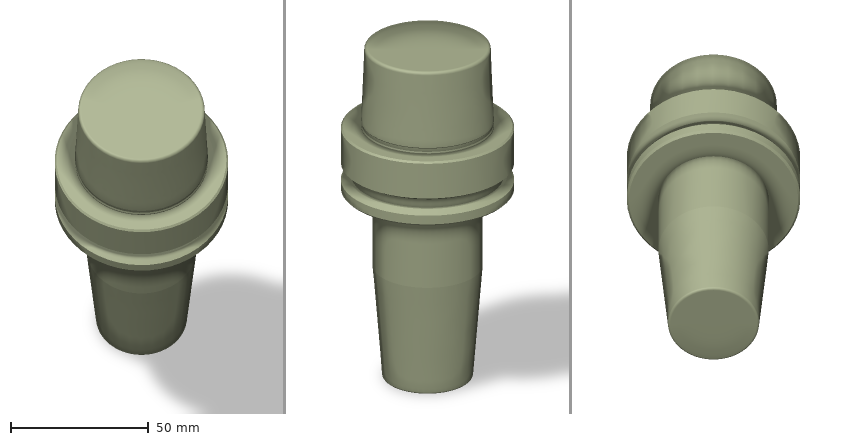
import cadquery as cq
import math

shank_top_radius = 23.0
relief_radius = 23.7
relief_flare = 0.4
shank_base_radius = relief_radius + relief_flare
dish_radius = 26.5
flange_radius = 31.5
groove_radius = 27.7
groove_mouth_radius = 28.9
barrel_radius = 20.0
tip_radius = 16.5

total_height = 131.9
shank_base_z = 102.2
relief_bottom_z = 100.1
flange_top_z = 100.0
groove_top_z = 83.9
groove_bottom_z = 80.0
flange_bottom_z = 74.3
barrel_bottom_z = 44.3

shank_fillet = 1.2
flange_top_chamfer = 0.7
flange_bottom_chamfer = 0.8
tip_fillet = 0.9
dish_depth = 0.3
groove_flank_angle = 60.0

flank_height = (flange_radius - groove_mouth_radius) / math.tan(math.radians(groove_flank_angle))

half_section = [
    (0, 0),
    (tip_radius, 0),
    (barrel_radius, barrel_bottom_z),
    (barrel_radius, flange_bottom_z),
    (flange_radius - flange_bottom_chamfer, flange_bottom_z),
    (flange_radius, flange_bottom_z + flange_bottom_chamfer),
    (flange_radius, groove_bottom_z - flank_height),
    (groove_mouth_radius, groove_bottom_z),
    (groove_radius, groove_bottom_z),
    (groove_radius, groove_top_z),
    (groove_mouth_radius, groove_top_z),
    (flange_radius, groove_top_z + flank_height),
    (flange_radius, flange_top_z - flange_top_chamfer),
    (flange_radius - flange_top_chamfer, flange_top_z),
    (dish_radius, flange_top_z),
    (shank_base_radius, flange_top_z - dish_depth),
    (shank_base_radius, relief_bottom_z),
    (relief_radius, relief_bottom_z + relief_flare),
    (relief_radius, shank_base_z - relief_flare),
    (shank_base_radius, shank_base_z),
    (shank_top_radius, total_height),
    (0, total_height),
]
body = cq.Workplane("XZ").polyline(half_section).close().revolve(360, (0, 0, 0), (0, 1, 0))

body = body.faces(">Z").edges().fillet(shank_fillet)
result = body.faces("<Z").edges().fillet(tip_fillet)